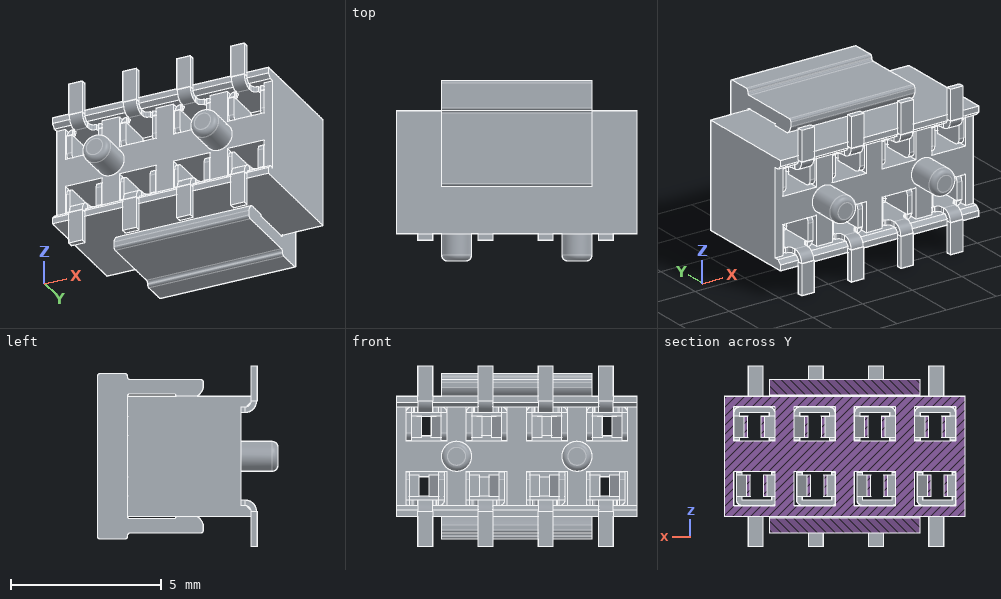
import cadquery as cq
import math


housing_length = 8.0
housing_height = 4.0
solder_face_depth = 3.78
lip_depth = 4.1
lip_inner_z = 1.64
lip_chamfer = 0.14

pitch = 2.0
columns = 4
row_z = pitch / 2
pocket_width = 1.36
pocket_inner_z = 0.51
mating_wall = 0.4
window_size = 0.63

peg_diameter = 1.0
peg_spacing = 4.0
peg_end_depth = 5.0
peg_round = 0.2

sheet = 0.19
leg_thickness = 0.22
contact_shift = -0.04
channel_shift = 0.04
channel_width = 1.36
channel_front_depth = 3.67
base_front_depth = 3.64
channel_back_depth = 2.4
channel_inner_z = 0.53
channel_outer_z = lip_inner_z
channel_bend = 0.19
wall_corner_round = 0.25
base_front_width = 0.8
relief_width = 0.09
relief_depth = 3.6
lead_width = 0.5
bend_width = 0.49
lead_tip_z = 3.0
lead_bend_inner = 0.2
lead_bend_outer = lead_bend_inner + sheet
shoulder_round = 0.14
arm_tip_depth = 1.44
arm_tip_gap = 0.32
arm_thickness = 0.12
arm_low_z = 0.62
arm_high_z = 1.34

cap_length = 5.0
cap_plate = 1.0
cap_half_height = 2.75
cap_round = 0.09
clip_outer_z = 2.55
clip_inner_z = 2.06
clip_depth = 2.52
clip_corner_round = 0.1
clip_nose_depth = 2.32
clip_nose_bulge = 0.03
clip_nose_z = 2.28
clip_pad_depth = 1.62
clip_pad_bevel = 0.03
clip_root_bevel = 0.04

diagonal = math.sqrt(0.5)


def column_x(column):
    """Centre of a column of contact pockets."""
    return (column - (columns - 1) / 2) * pitch


def box(x_range, y_range, z_range):
    """Box between two limits along each axis."""
    (x0, x1), (y0, y1), (z0, z1) = x_range, y_range, z_range
    return cq.Workplane("XY").box(x1 - x0, y1 - y0, z1 - z0, centered=False).translate((x0, y0, z0))


def make_housing_block():
    """Prism with a chamfered lip along both long edges of the solder face."""
    half_height = housing_height / 2
    upper = [
        (0, half_height),
        (-lip_depth, half_height),
        (-lip_depth, lip_inner_z + lip_chamfer),
        (-lip_depth + lip_chamfer, lip_inner_z),
        (-solder_face_depth, lip_inner_z),
    ]
    lower = [(y, -z) for y, z in reversed(upper)]
    block = cq.Workplane("YZ").polyline(upper + lower).close().extrude(housing_length)
    return block.translate((-housing_length / 2, 0, 0))


def make_pocket(x, side):
    """Contact pocket and the square window that opens it to the mating face."""
    z_limits = sorted((side * pocket_inner_z, side * lip_inner_z))
    pocket = box(
        (x - pocket_width / 2, x + pocket_width / 2),
        (-solder_face_depth, -mating_wall),
        z_limits,
    )
    window = cq.Workplane("XY").box(window_size, 2 * mating_wall, window_size)
    return pocket.union(window.translate((x, -mating_wall / 2, side * row_z)))


def make_peg(x):
    """Locating peg with a rounded end."""
    peg_length = peg_end_depth - solder_face_depth
    peg = cq.Workplane("XZ").circle(peg_diameter / 2).extrude(peg_length).faces("<Y").edges().fillet(peg_round)
    return peg.translate((x, -solder_face_depth, 0))


def make_channel():
    """U-shaped channel of the contact, open towards the middle of the housing."""
    half_width = channel_width / 2
    length_y = (-channel_front_depth, -channel_back_depth)
    channel = box((-half_width, half_width), length_y, (channel_inner_z, channel_outer_z))
    channel = channel.edges("|Y and >Z").fillet(channel_bend)
    hollow_half = half_width - sheet
    channel = channel.cut(
        box((-hollow_half, hollow_half), length_y, (channel_inner_z, channel_outer_z - sheet))
    )
    channel = channel.edges("|X and <Y and <Z").fillet(wall_corner_round)
    return channel.translate((channel_shift, 0, 0))


def make_base_setback():
    """Space in front of the base and its folded corners, which stop short of the side walls."""
    half_width = channel_width / 2
    setback = box(
        (-half_width, half_width),
        (-channel_front_depth, -base_front_depth),
        (channel_outer_z - sheet, channel_outer_z),
    )
    return setback.translate((channel_shift, 0, 0))


def make_fold_relief(side):
    """Round-ended slot that parts the base front from a folded corner."""
    half_width = relief_width / 2
    slot = box(
        (-half_width, half_width),
        (-base_front_depth, -relief_depth),
        (channel_outer_z - sheet, channel_outer_z),
    )
    round_end = cq.Workplane("XY").circle(half_width).extrude(sheet)
    slot = slot.union(round_end.translate((0, -relief_depth, channel_outer_z - sheet)))
    return slot.translate((channel_shift + side * (base_front_width + relief_width) / 2, 0, 0))


def make_arm(side):
    """Spring arm running from a side wall in towards the mating pin."""
    wall_inner = channel_width / 2 - sheet
    tip = arm_tip_gap / 2
    outline = [
        (wall_inner, -channel_back_depth),
        (tip, -arm_tip_depth),
        (tip + arm_thickness, -arm_tip_depth),
        (wall_inner + sheet, -channel_back_depth),
    ]
    arm = (
        cq.Workplane("XY")
        .polyline([(channel_shift + side * x, y) for x, y in outline])
        .close()
        .extrude(arm_high_z - arm_low_z)
    )
    return arm.translate((0, 0, arm_low_z))


def make_lead():
    """Flat lead that leaves the base and bends outwards over the lip to the soldered leg."""
    bend_y = -lip_depth + lead_bend_inner
    bend_z = channel_outer_z + lead_bend_inner
    width_x = (-lead_width / 2, lead_width / 2)
    root = box(width_x, (bend_y, -base_front_depth), (channel_outer_z - sheet, channel_outer_z))
    leg = box(width_x, (-lip_depth - leg_thickness, -lip_depth), (bend_z, lead_tip_z))
    bend = (
        cq.Workplane("YZ")
        .moveTo(bend_y, channel_outer_z)
        .threePointArc(
            (bend_y - lead_bend_inner * diagonal, bend_z - lead_bend_inner * diagonal),
            (-lip_depth, bend_z),
        )
        .lineTo(-lip_depth - sheet, bend_z)
        .threePointArc(
            (bend_y - lead_bend_outer * diagonal, bend_z - lead_bend_outer * diagonal),
            (bend_y, channel_outer_z - sheet),
        )
        .close()
        .extrude(bend_width)
        .translate((-bend_width / 2, 0, 0))
    )
    return root.union(bend).union(leg)


def make_shoulder(side):
    """Concave round between one side of the lead and the base front."""
    x = side * lead_width / 2
    y = -base_front_depth
    round_centre = (x + side * shoulder_round, y - shoulder_round)
    corner = (
        cq.Workplane("XY")
        .moveTo(x, y)
        .lineTo(x + side * shoulder_round, y)
        .threePointArc(
            (
                round_centre[0] - side * shoulder_round * diagonal,
                round_centre[1] + shoulder_round * diagonal,
            ),
            (x, y - shoulder_round),
        )
        .close()
        .extrude(sheet)
    )
    return corner.translate((0, 0, channel_outer_z - sheet))


def make_contact():
    """One contact of the upper row, with its lead centred on X = 0."""
    contact = make_channel().cut(make_base_setback()).union(make_lead())
    for side in (-1, 1):
        contact = contact.cut(make_fold_relief(side))
        contact = contact.union(make_arm(side))
        contact = contact.union(make_shoulder(side))
    return contact


def make_connector():
    """Housing with its pegs and both rows of contacts, as one solid."""
    connector = make_housing_block()
    upper_contact = make_contact()
    lower_contact = upper_contact.rotate((0, 0, 0), (0, 1, 0), 180)
    for side, contact in ((1, upper_contact), (-1, lower_contact)):
        for column in range(columns):
            x = column_x(column)
            connector = connector.cut(make_pocket(x, side))
            connector = connector.union(contact.translate((x + contact_shift, 0, 0)))
    for side in (-1, 1):
        connector = connector.union(make_peg(side * peg_spacing / 2))
    return connector


def make_clip():
    """Upper clip of the cap, gripping the top of the housing and rounded into the plate."""
    grip_z = housing_height / 2
    root_centre_z = clip_outer_z + cap_round
    clip = (
        cq.Workplane("YZ")
        .moveTo(cap_round, root_centre_z)
        .lineTo(0, root_centre_z)
        .threePointArc(
            (-cap_round + cap_round * diagonal, root_centre_z - cap_round * diagonal),
            (-cap_round, clip_outer_z),
        )
        .lineTo(-clip_depth, clip_outer_z)
        .lineTo(-clip_depth, clip_nose_z)
        .sagittaArc((-clip_nose_depth, grip_z), -clip_nose_bulge)
        .lineTo(-clip_pad_depth, grip_z)
        .lineTo(-clip_pad_depth + clip_pad_bevel, clip_inner_z)
        .lineTo(-clip_root_bevel, clip_inner_z)
        .lineTo(0, clip_inner_z - clip_root_bevel)
        .lineTo(cap_round, clip_inner_z - clip_root_bevel)
        .close()
        .extrude(cap_length)
        .translate((-cap_length / 2, 0, 0))
    )
    tip_corner = cq.NearestToPointSelector((0, -clip_depth, clip_outer_z))
    return clip.edges(tip_corner).fillet(clip_corner_round)


def make_cap():
    """Pick-up cap: a plate over the mating face with two clips."""
    cap = box(
        (-cap_length / 2, cap_length / 2),
        (0, cap_plate),
        (-cap_half_height, cap_half_height),
    )
    cap = cap.edges("|X").fillet(cap_round)
    upper_clip = make_clip()
    return cap.union(upper_clip).union(upper_clip.mirror("XY"))


connector = make_connector().solids()
cap = make_cap().solids()

result = cq.Compound.makeCompound([connector.val(), cap.val()])